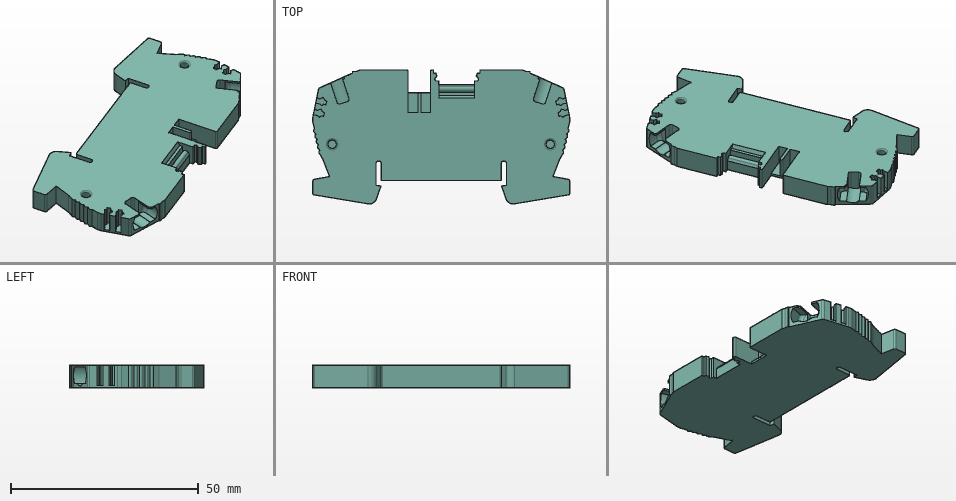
import cadquery as cq
import math

LENGTH = 68.5
HEIGHT = 35.7
THICKNESS = 6.1
HALF_LENGTH = LENGTH / 2
FLOOR = 0.7

TEETH = 5
TOOTH_PITCH = 1.45
TOOTH_SHIFT = 0.355
FIRST_VALLEY = (-33.8, 20.0)
GRIP_END = (-31.6, 11.9)
END_FACE_TOP = 23.0
END_FACE_BOTTOM = 21.85
RIDGE_CROWN = (-0.3, -0.4)
RIDGE_END = (-0.1, -0.9)

RAIL_FACE_Y = 6.2
SLOT_OUTER_X = -17.3
SLOT_INNER_X = -16.0
SLOT_TOP_Y = 11.4
SLOT_TOP_RADIUS = 0.5
SLOT_OUTER_TOP = (SLOT_OUTER_X, SLOT_TOP_Y)
SLOT_INNER_TOP = (SLOT_INNER_X, SLOT_TOP_Y)
RAIL_CORNER = (SLOT_INNER_X, RAIL_FACE_Y)
HOOK_ROOT = (SLOT_OUTER_X, 5.0)
HOOK_POINT = (SLOT_INNER_X, 4.8)
FOOT_LOW = (-HALF_LENGTH, 2.5)
FOOT_HIGH = (-HALF_LENGTH, 6.5)
FOOT_TIP = (-17.8, -0.3)
FOOT_TIP_RADIUS = 2.05
FOOT_RADIUS = 0.55
EDGE_RADIUS = 0.35
NECK = (-29.8, 7.3)

SHOULDER_LOW = (-32.7, 30.8)
SHOULDER_HIGH = (-23.7, 34.9)
SHOULDER_LIP = [(-21.7, HEIGHT), (-22.6, 35.35), (-23.7, 35.3)]
SHOULDER_RADIUS = 0.8

ENTRY_CENTRE = (-27.9, 32.8)
ENTRY_ANGLE = 18.0
ENTRY_AXIS_Z = 3.35
ENTRY_SLOT_WIDTH = 3.35
ENTRY_SLOT_DEPTH = 6.15
ENTRY_FLARE_WIDTH = 0.5
ENTRY_FLARE_DEPTH = 0.35
ENTRY_FLOOR_RADIUS = 2.75
ENTRY_FLOOR_Z = 0.58
ENTRY_END_RADIUS = 0.7
CAVITY_RADIUS = 4.1
CAVITY_HEIGHT = 4.4
CAVITY_DEPTH = 4.1
CAVITY_END_RADIUS = 1.0
OVERRUN = 2.05

GROOVE_OUTLINE = [
    (-34.95, 28.5), (-33.0, 28.35), (-32.4, 27.95), (-32.05, 28.15), (-31.4, 28.35), (-31.1, 27.75),
    (-30.5, 27.3), (-30.75, 26.4), (-31.3, 26.6), (-31.8, 26.2), (-32.4, 26.65), (-33.4, 26.85),
    (-34.95, 27.0),
]
GROOVE_STEP = (-0.6, -3.1)

HOLE_CENTRE = (-29.05, 15.9)
HOLE_MOUTH_DIAMETER = 3.0
HOLE_DIAMETER = 2.2
HOLE_DEPTH = 2.75

JUMPER_LEFT = -8.85
JUMPER_RIGHT = -2.9
JUMPER_LEDGE_Y = 29.65
JUMPER_POCKET_Y = 24.4
RIB_LEFT = -6.15
RIB_RIGHT = -5.35
RIB_END_RADIUS = 0.35

WINDOW_CENTRE = 4.1
WINDOW_HALF_WIDTH = 4.7
WINDOW_SILL_Y = 28.2
WINDOW_CATCH = [
    (WINDOW_HALF_WIDTH, 32.8), (5.55, 32.8), (5.8, 33.2), (5.6, 33.6), (5.2, 34.05), (5.4, 34.5),
    (5.5, 34.9), (6.15, 34.9),
]
SILL_STEP_Y = 28.85
SILL_STEP_Z = 5.1
BEAD_AXIS_Y = 30.6
BEAD_AXIS_Z = 2.95
BEAD_RADIUS = 0.95
BEAD_SPAN = math.radians(45)
BEAD_REAR_Y = 31.8


def mirrored(points):
    """The same points on the other side of X = 0, in reverse order."""
    return [(-x, y) for x, y in reversed(points)]


def round_corners(body, corners, radius):
    """Round the vertical edges that stand on the given corners."""
    for x, y in corners:
        edge = cq.selectors.NearestToPointSelector((x, y, THICKNESS / 2))
        body = body.edges("|Z").edges(edge).fillet(radius)
    return body


def both_sides(solid):
    """A left-hand solid together with its mirror image on the right."""
    return solid.union(solid.mirror("YZ"))


def block(x0, x1, y0, y1, z0, z1):
    """Box between the given limits."""
    return cq.Workplane().box(x1 - x0, y1 - y0, z1 - z0, centered=False).translate((x0, y0, z0))


def cylinder_along_y(radius, axis_z, depth):
    """Cylinder from OVERRUN outside the origin to the given depth along -Y."""
    circle = cq.Workplane("XZ", origin=(0, OVERRUN, axis_z)).circle(radius)
    return circle.extrude(OVERRUN + depth)


def left_half():
    """Left half of the plate with square corners, up to X = 0."""
    outline = (
        cq.Workplane()
        .polyline([(0, HEIGHT)] + SHOULDER_LIP)
        .lineTo(*SHOULDER_HIGH)
        .lineTo(*SHOULDER_LOW)
        .lineTo(-HALF_LENGTH, END_FACE_TOP)
        .lineTo(-HALF_LENGTH, END_FACE_BOTTOM)
    )
    for i in range(TEETH):
        x = FIRST_VALLEY[0] + i * TOOTH_SHIFT
        y = FIRST_VALLEY[1] - i * TOOTH_PITCH
        crown = (x + RIDGE_CROWN[0], y + RIDGE_CROWN[1])
        ridge_end = (x + RIDGE_END[0], y + RIDGE_END[1])
        outline = outline.lineTo(x, y).threePointArc(crown, ridge_end)
    outline = (
        outline.lineTo(*GRIP_END)
        .lineTo(*NECK)
        .lineTo(*FOOT_HIGH)
        .lineTo(*FOOT_LOW)
        .lineTo(*FOOT_TIP)
        .lineTo(*HOOK_POINT)
        .lineTo(*HOOK_ROOT)
        .lineTo(*SLOT_OUTER_TOP)
        .lineTo(*SLOT_INNER_TOP)
        .lineTo(*RAIL_CORNER)
        .lineTo(0, RAIL_FACE_Y)
        .close()
    )
    return outline.extrude(THICKNESS)


def plate():
    """Whole plate with its outer corners rounded."""
    body = left_half()
    for corners, radius in (
        ([SHOULDER_LOW], SHOULDER_RADIUS),
        ([FOOT_LOW, FOOT_HIGH], FOOT_RADIUS),
        ([RAIL_CORNER], EDGE_RADIUS),
        ([FOOT_TIP], FOOT_TIP_RADIUS),
        ([SLOT_OUTER_TOP, SLOT_INNER_TOP], SLOT_TOP_RADIUS),
    ):
        body = round_corners(body, corners, radius)
    return both_sides(body).clean()


def wire_entries():
    """Round-sided cavity behind the shoulder, with a narrower slot open to the top face."""
    half_width = ENTRY_SLOT_WIDTH / 2
    mouth_half_width = half_width + ENTRY_FLARE_WIDTH
    plan = (
        cq.Workplane()
        .polyline([
            (-mouth_half_width, OVERRUN), (mouth_half_width, OVERRUN), (mouth_half_width, 0),
            (half_width, -ENTRY_FLARE_DEPTH), (half_width, -ENTRY_SLOT_DEPTH),
            (-half_width, -ENTRY_SLOT_DEPTH), (-half_width, -ENTRY_FLARE_DEPTH), (-mouth_half_width, 0),
        ])
        .close()
        .extrude(THICKNESS)
        .edges("|Z and <Y")
        .fillet(ENTRY_END_RADIUS)
    )
    floor_axis_z = ENTRY_FLOOR_Z + ENTRY_FLOOR_RADIUS
    trough = cylinder_along_y(ENTRY_FLOOR_RADIUS, floor_axis_z, ENTRY_SLOT_DEPTH)
    trough = trough.union(
        block(-ENTRY_FLOOR_RADIUS, ENTRY_FLOOR_RADIUS, -ENTRY_SLOT_DEPTH, OVERRUN, floor_axis_z, THICKNESS)
    )
    cavity = cylinder_along_y(CAVITY_RADIUS, ENTRY_AXIS_Z, CAVITY_DEPTH)
    cavity = cavity.faces("<Y").edges().fillet(CAVITY_END_RADIUS)
    cavity = cavity.intersect(
        block(
            -CAVITY_RADIUS, CAVITY_RADIUS, -CAVITY_DEPTH, OVERRUN,
            ENTRY_AXIS_Z - CAVITY_HEIGHT / 2, ENTRY_AXIS_Z + CAVITY_HEIGHT / 2,
        )
    )
    entry = plan.intersect(trough).union(cavity)
    entry = entry.rotate((0, 0, 0), (0, 0, 1), ENTRY_ANGLE).translate((*ENTRY_CENTRE, 0))
    return both_sides(entry)


def marker_grooves():
    """Two equal grooves in each end, one below the other, closed at the lower face."""
    groove = cq.Workplane().polyline(GROOVE_OUTLINE).close().extrude(THICKNESS - FLOOR)
    groove = groove.translate((0, 0, FLOOR))
    return both_sides(groove.union(groove.translate((*GROOVE_STEP, 0))))


def test_holes():
    """Blind holes whose mouths are rounded over."""
    radius = HOLE_DIAMETER / 2
    mouth_radius = HOLE_MOUTH_DIAMETER / 2
    rounding = mouth_radius - radius
    arc_middle = rounding * (1 - math.sqrt(0.5))
    hole = (
        cq.Workplane("XZ")
        .moveTo(0, THICKNESS)
        .lineTo(mouth_radius, THICKNESS)
        .threePointArc((radius + arc_middle, THICKNESS - arc_middle), (radius, THICKNESS - rounding))
        .lineTo(radius, THICKNESS - HOLE_DEPTH)
        .lineTo(0, THICKNESS - HOLE_DEPTH)
        .close()
        .revolve(360, (0, 0, 0), (0, 1, 0))
    )
    return both_sides(hole.translate((*HOLE_CENTRE, 0)))


def jumper_opening():
    """Opening through the top edge and the blind pocket below it, split by a rib."""
    through = block(JUMPER_LEFT, JUMPER_RIGHT, JUMPER_LEDGE_Y, HEIGHT + OVERRUN, 0, THICKNESS)
    pocket = block(JUMPER_LEFT, JUMPER_RIGHT, JUMPER_POCKET_Y, JUMPER_LEDGE_Y, FLOOR, THICKNESS)
    rib = block(RIB_LEFT, RIB_RIGHT, JUMPER_POCKET_Y, JUMPER_LEDGE_Y, FLOOR, THICKNESS)
    rib = rib.edges("|Z and >Y").fillet(RIB_END_RADIUS)
    return through.union(pocket.cut(rib))


def label_window():
    """Toothed opening through the plate, and the shaped bead left standing at its sill."""
    sill_end = (WINDOW_HALF_WIDTH, WINDOW_SILL_Y)
    above_plate = (WINDOW_CATCH[-1][0], HEIGHT + OVERRUN)
    right_edge = [sill_end] + WINDOW_CATCH + [above_plate]
    opening = cq.Workplane().polyline(right_edge + mirrored(right_edge)).close().extrude(THICKNESS)
    bead_front_y = BEAD_AXIS_Y - BEAD_RADIUS
    bead_side_y = BEAD_AXIS_Y + BEAD_RADIUS * math.sin(BEAD_SPAN)
    bead_side_z = BEAD_AXIS_Z + BEAD_RADIUS * math.cos(BEAD_SPAN)
    bead = (
        cq.Workplane("YZ")
        .moveTo(WINDOW_SILL_Y, 0)
        .lineTo(WINDOW_SILL_Y, THICKNESS)
        .lineTo(SILL_STEP_Y, SILL_STEP_Z)
        .lineTo(bead_front_y, SILL_STEP_Z)
        .lineTo(bead_front_y, BEAD_AXIS_Z)
        .threePointArc((BEAD_AXIS_Y, BEAD_AXIS_Z + BEAD_RADIUS), (bead_side_y, bead_side_z))
        .lineTo(BEAD_REAR_Y, BEAD_AXIS_Z)
        .lineTo(BEAD_REAR_Y, 0)
        .close()
        .extrude(WINDOW_HALF_WIDTH, both=True)
    )
    return opening.cut(bead).translate((WINDOW_CENTRE, 0, 0))


result = plate().cut(jumper_opening()).cut(label_window())
result = round_corners(result, [(JUMPER_LEFT, HEIGHT), (JUMPER_RIGHT, HEIGHT)], EDGE_RADIUS)
result = result.cut(wire_entries()).cut(marker_grooves()).cut(test_holes())